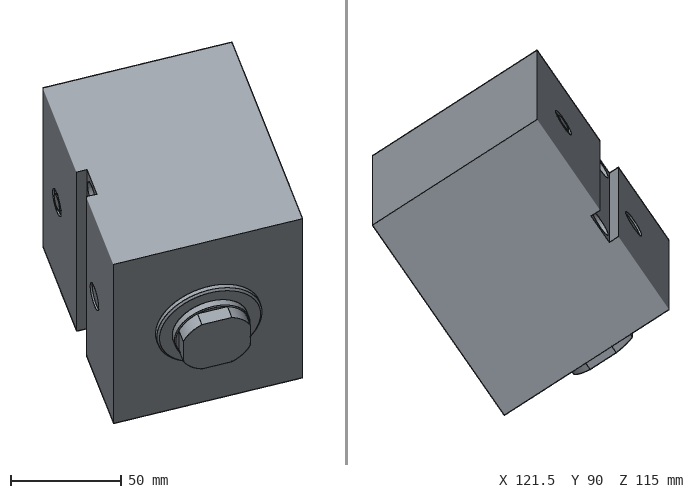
import cadquery as cq

TOTAL_LENGTH = 121.5
HOUSING_LENGTH = 108.0
HOUSING_DEPTH = 90.0
HOUSING_HEIGHT = 115.0
EDGE_RADIUS = 0.3

SLOT_CENTER_X = 59.0
SLOT_WIDTH = 15.0
SLOT_DEPTH = 5.0
MOUNT_HOLE_DIAMETER = 13.0
MOUNT_HOLE_SPACING = 95.0

PORT_DIAMETER = 13.0
PORT_DEPTH = 1.0
RING_PORT_X = 21.5
RING_PORT_CORE_DIAMETER = 8.0
PLAIN_PORT_X = 79.0

GLAND_DIAMETER = 50.0
GLAND_THICKNESS = 3.0
GLAND_CHAMFER = 1.0

ROD_DIAMETER = 36.0
ROD_CHAMFER = 0.5
ROD_END_DIAMETER = ROD_DIAMETER - 2 * ROD_CHAMFER
FLATS_WIDTH = 32.0
FLATS_LENGTH = 6.7

FRONT_Y = -HOUSING_DEPTH / 2
ROD_LENGTH = TOTAL_LENGTH - HOUSING_LENGTH
SHOULDER_LENGTH = ROD_LENGTH - FLATS_LENGTH


def front_cylinder(x, z, diameter, depth):
    """Cylinder that runs from the front face into the housing along +Y."""
    start = cq.Vector(x, FRONT_Y, z)
    return cq.Workplane(cq.Solid.makeCylinder(diameter / 2, depth, start, cq.Vector(0, 1, 0)))


def axial_cylinder(diameter, length, offset=0.0):
    """Cylinder on the rod axis that starts at an offset from the housing end face."""
    return cq.Workplane("YZ", origin=(HOUSING_LENGTH + offset, 0, 0)).circle(diameter / 2).extrude(length)


def make_housing():
    body = cq.Workplane("XY").box(HOUSING_LENGTH, HOUSING_DEPTH, HOUSING_HEIGHT, centered=(False, True, True))

    body = body.faces("<Y").edges("|X").fillet(EDGE_RADIUS)

    slot = cq.Workplane("XY").box(SLOT_WIDTH, 2 * SLOT_DEPTH, HOUSING_HEIGHT)
    body = body.cut(slot.translate((SLOT_CENTER_X, FRONT_Y, 0)))

    for side in (-1, 1):
        hole_z = side * MOUNT_HOLE_SPACING / 2
        body = body.cut(front_cylinder(SLOT_CENTER_X, hole_z, MOUNT_HOLE_DIAMETER, HOUSING_DEPTH))

    plain_port = front_cylinder(PLAIN_PORT_X, 0, PORT_DIAMETER, PORT_DEPTH)
    ring_port = front_cylinder(RING_PORT_X, 0, PORT_DIAMETER, PORT_DEPTH)
    ring_core = front_cylinder(RING_PORT_X, 0, RING_PORT_CORE_DIAMETER, PORT_DEPTH)
    return body.cut(plain_port).cut(ring_port.cut(ring_core))


def make_gland():
    ring = axial_cylinder(GLAND_DIAMETER, GLAND_THICKNESS).faces(">X").chamfer(GLAND_CHAMFER)
    return ring.cut(axial_cylinder(ROD_DIAMETER, GLAND_THICKNESS))


def make_rod():
    shoulder = axial_cylinder(ROD_DIAMETER, SHOULDER_LENGTH).faces(">X").chamfer(ROD_CHAMFER)

    wrench_end = axial_cylinder(ROD_END_DIAMETER, FLATS_LENGTH, SHOULDER_LENGTH)
    square = (
        cq.Workplane("YZ", origin=(HOUSING_LENGTH + SHOULDER_LENGTH, 0, 0))
        .rect(FLATS_WIDTH, FLATS_WIDTH)
        .extrude(FLATS_LENGTH)
    )
    return shoulder.union(wrench_end.intersect(square))


housing = make_housing()
gland = make_gland()
rod = make_rod()

result = cq.Compound.makeCompound([housing.val(), gland.val(), rod.val()])